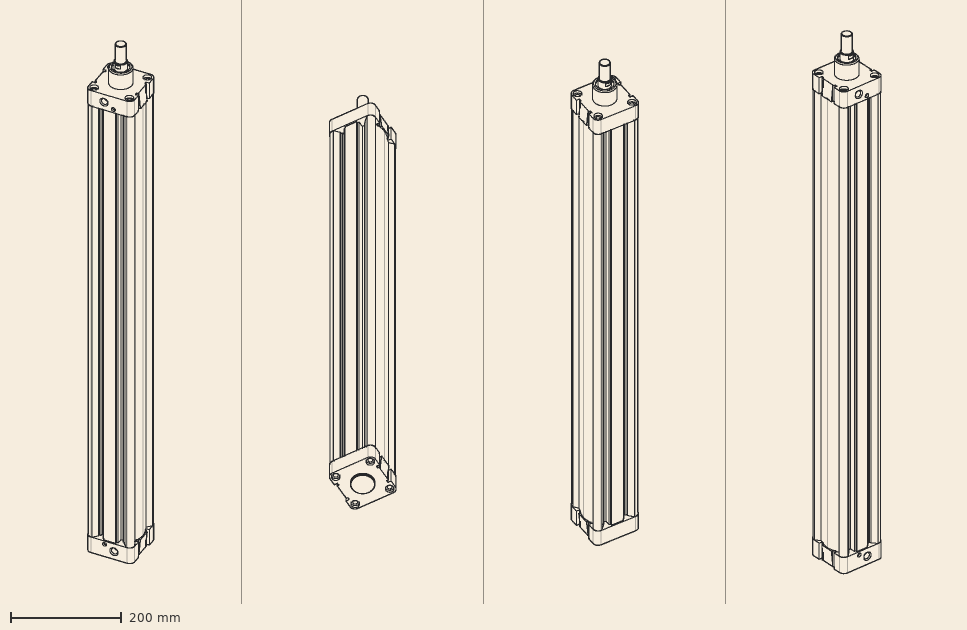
import cadquery as cq

total_length = 1118.0
width = 94.0
half_width = width / 2
cut_margin = 11.0

cap_height = 35.0
rear_boss_height = 5.0
front_cap_top = 1032.0
front_cap_bottom = front_cap_top - cap_height
rear_cap_bottom = rear_boss_height
rear_cap_top = rear_cap_bottom + cap_height
corner_radius = 10.0
bolt_offset = 36.0
bolt_hole_diameter = 9.0
bolt_recess_diameter = 16.0
bolt_recess_depth = 6.0

pad_half_width = 13.0
slot_inner = 17.0
slot_outer = 21.0
slot_depth = 7.0
pad_draft = 3.0
pad_step = 3.0

port_diameter = 17.0
port_offset = 10.0
port_depth = 13.0
port_chamfer = 2.0
port_chamfer_angle = 45
screw_diameter = 8.0
screw_offset_x = 9.0
screw_offset_z = 10.0
screw_depth = 5.0

barrel_width = 93.0
barrel_half = barrel_width / 2
barrel_edge = 35.0
face_valley_x = 26.0
face_valley_depth = 9.0
groove_outer = 22.0
groove_inner = 16.0
ledge_depth = 12.0
groove_depth = 17.0
rib_half_width = 12.0
rib_step_depth = 6.0
rib_depth = 2.0
roof_foot = 26.0
roof_foot_depth = 8.0
ridge_depth = 1.0
roof_bulge = 1.0

boss_diameter = 45.0
rear_boss_chamfer = 1.0
front_boss_chamfer = 2.0
seal_recess_diameter = 34.0
seal_recess_depth = 3.0
boss_top = 1067.0
rod_diameter = 25.0
rod_chamfer = 1.0
rod_shoulder = 1080.0
rod_flat_width = 22.0
rod_flat_bottom = 1070.0
rod_flat_height = 7.0
thread_diameter = 20.0
thread_chamfer = 1.0


def cylinder(diameter, bottom, top):
    """Upright cylinder on the Z axis."""
    return cq.Workplane("XY").workplane(offset=bottom).circle(diameter / 2).extrude(top - bottom)


def cap_block(outer_z, inner_z):
    """Square end cap; each side face has a pad that leans inward toward the outer end."""
    bottom = min(outer_z, inner_z)
    block = cq.Workplane("XY").workplane(offset=bottom).rect(width, width).extrude(cap_height)
    block = block.edges("|Z").fillet(corner_radius)
    outside = half_width + cut_margin
    slot_floor = half_width - slot_depth
    slot = [
        (outside, pad_half_width), (half_width - pad_step, pad_half_width),
        (half_width - pad_step, slot_inner), (slot_floor, slot_inner),
        (slot_floor, slot_outer), (outside, slot_outer),
    ]
    slots = cq.Workplane("XY").workplane(offset=bottom).polyline(slot).close().extrude(cap_height)
    slots = slots.union(slots.mirror("XZ"))
    draft = [(half_width, inner_z), (half_width, outer_z), (half_width - pad_draft, outer_z)]
    drafts = cq.Workplane("XZ").polyline(draft).close().extrude(slot_inner, both=True)
    side_cut = slots.union(drafts)
    return block.cut(side_cut).cut(side_cut.mirror("YZ"))


def front_hole(diameter, depth, x, z, taper=0):
    """Blind hole drilled into the -Y face; a taper in degrees makes it narrow inward."""
    return (
        cq.Workplane("XZ", origin=(x, -half_width, z))
        .circle(diameter / 2)
        .extrude(-depth, taper=taper)
    )


def cut_bolt_holes(body):
    """Cut the four corner bolt holes through the part and a counterbore at each outer cap face."""
    bores = [
        (bolt_hole_diameter, 0, total_length),
        (bolt_recess_diameter, rear_cap_bottom, rear_cap_bottom + bolt_recess_depth),
        (bolt_recess_diameter, front_cap_top - bolt_recess_depth, front_cap_top),
    ]
    for x in (-bolt_offset, bolt_offset):
        for y in (-bolt_offset, bolt_offset):
            for diameter, bottom, top in bores:
                body = body.cut(cylinder(diameter, bottom, top).translate((x, y, 0)))
    return body


def cut_ports(body, cap_middle, side):
    """Cut the air port and the cushion screw; side is +1 for the front cap, -1 for the rear."""
    port_x = -side * port_offset
    port = front_hole(port_diameter - 2 * port_chamfer, port_depth, port_x, cap_middle)
    mouth = front_hole(port_diameter, port_chamfer, port_x, cap_middle, taper=port_chamfer_angle)
    screw = front_hole(screw_diameter, screw_depth, side * screw_offset_x, cap_middle - side * screw_offset_z)
    return body.cut(port).cut(mouth).cut(screw)


def barrel():
    """Extruded profile: grooved on the Y faces, shallow curved roof on the X faces."""
    length = front_cap_bottom - rear_cap_top
    body = cq.Workplane("XY").workplane(offset=rear_cap_top).rect(barrel_width, barrel_width).extrude(length)
    body = body.edges("|Z").fillet(corner_radius)
    outside = barrel_half + cut_margin
    face_half = [
        (barrel_edge, outside), (barrel_edge, barrel_half),
        (face_valley_x, barrel_half - face_valley_depth),
        (face_valley_x, barrel_half - ledge_depth),
        (groove_outer, barrel_half - ledge_depth),
        (groove_outer, barrel_half - groove_depth),
        (groove_inner, barrel_half - groove_depth),
        (groove_inner, barrel_half - rib_step_depth),
        (rib_half_width, barrel_half - rib_step_depth),
        (rib_half_width, barrel_half - rib_depth),
    ]
    face_outline = face_half + [(-x, y) for x, y in reversed(face_half)]
    face_cut = cq.Workplane("XY").workplane(offset=rear_cap_top).polyline(face_outline).close().extrude(length)
    roof_low = barrel_half - roof_foot_depth
    roof_middle = (roof_foot / 2, barrel_half - (ridge_depth + roof_foot_depth) / 2 + roof_bulge)
    half_cut = (
        cq.Workplane("XY").workplane(offset=rear_cap_top)
        .moveTo(0, outside)
        .lineTo(0, barrel_half - ridge_depth)
        .threePointArc(roof_middle, (roof_foot, roof_low))
        .lineTo(barrel_edge, barrel_half)
        .lineTo(barrel_edge, outside)
        .close()
        .extrude(length)
    )
    side_cut = half_cut.union(half_cut.mirror("YZ")).rotate((0, 0, 0), (0, 0, 1), 90)
    for cutter in (face_cut, side_cut):
        for angle in (0, 180):
            body = body.cut(cutter.rotate((0, 0, 0), (0, 0, 1), angle))
    return body


def piston_rod():
    """Rod end with two wrench flats and a threaded tip."""
    rod = cylinder(rod_diameter, front_cap_top, rod_shoulder).faces(">Z").chamfer(rod_chamfer)
    flats = (
        cq.Workplane("XY").workplane(offset=rod_flat_bottom)
        .rect(2 * rod_diameter, 2 * rod_diameter)
        .rect(2 * rod_diameter, rod_flat_width)
        .extrude(rod_flat_height)
    )
    tip = cylinder(thread_diameter, rod_shoulder, total_length).faces(">Z").chamfer(thread_chamfer)
    return rod.cut(flats).union(tip)


rear_boss = cylinder(boss_diameter, 0, rear_cap_bottom).faces("<Z").chamfer(rear_boss_chamfer)
front_boss = cylinder(boss_diameter, front_cap_top, boss_top).faces(">Z").chamfer(front_boss_chamfer)
front_boss = front_boss.cut(cylinder(seal_recess_diameter, boss_top - seal_recess_depth, boss_top))

body = cap_block(rear_cap_bottom, rear_cap_top)
body = body.union(barrel())
body = body.union(cap_block(front_cap_top, front_cap_bottom))
body = body.union(rear_boss).union(front_boss).union(piston_rod())

body = cut_bolt_holes(body)
body = cut_ports(body, front_cap_top - cap_height / 2, 1)
body = cut_ports(body, rear_cap_bottom + cap_height / 2, -1)

result = body